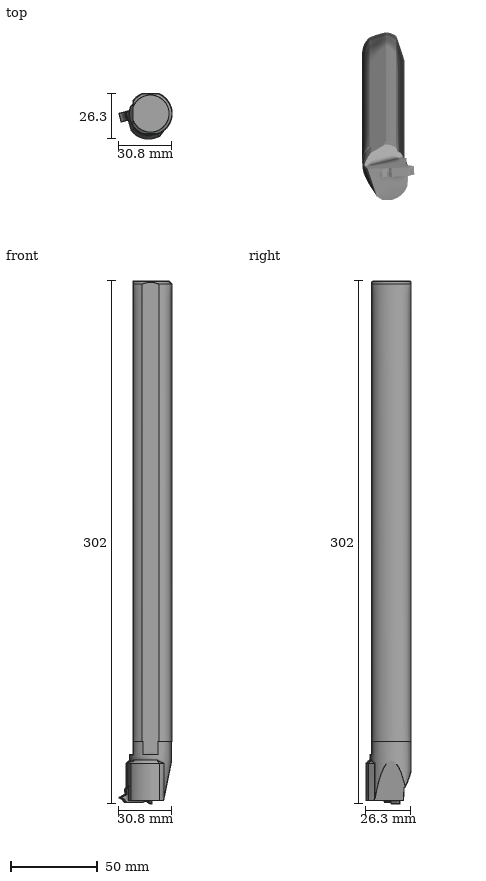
import cadquery as cq
import math

total_length = 302.0
overall_width = 30.8
shank_radius = 25.0 / 2
side_flat = 11.5
back_flat = 10.0
end_chamfer = 1.8
shank_bottom = 36.0
flats_bottom = 28.5

neck_radius = 24.5 / 2
head_bottom = 1.8
head_top = 25.5
head_chamfer = 2.0
head_front = -14.8
relief_top = 24.8
relief_bottom_x = 7.5

tilt = 15.0
floor_offset = 4.8
runout_point = (-12.0, 2.7, 27.5)
runout_normal = (-1.0, 1.0, -0.9)

insert_thickness = 5.0
corner_count = 3
corner_turn = 360.0 / corner_count
tip_radius = 11.0
tip_angle = math.radians(199.0)
tip_offset = (tip_radius * math.cos(tip_angle), tip_radius * math.sin(tip_angle))
corner_profile = [(-7.0, -6.3), (-8.5, -4.5), tip_offset, (-8.5, -2.57), (-6.5, -1.5), (-7.0, 1.0)]

tip_reach = overall_width - shank_radius
tip_along = (floor_offset * math.sin(math.radians(tilt)) - tip_reach) / math.cos(math.radians(tilt))
center_along = tip_along - tip_offset[0]
center_height = -tip_radius * math.sin(tip_angle + math.radians(corner_turn))

block_size = 120.8


def make_shank():
    """Round bar with a chamfered top on a slimmer neck, with three flats."""
    bar = (
        cq.Workplane("XY", origin=(0, 0, shank_bottom))
        .circle(shank_radius)
        .extrude(total_length - shank_bottom)
        .faces(">Z")
        .chamfer(end_chamfer)
    )
    neck = (
        cq.Workplane("XY", origin=(0, 0, head_bottom))
        .circle(neck_radius)
        .extrude(shank_bottom - head_bottom)
    )
    shank = bar.union(neck)
    for x, y, bottom in [
        (0, side_flat, head_bottom),
        (0, -side_flat, flats_bottom),
        (-back_flat, 0, flats_bottom),
    ]:
        shank = shank.cut(make_flat_cutter(x, y, bottom))
    return shank


def make_flat_cutter(x, y, bottom):
    """Block whose inner face lies across the radial line through (x, y)."""
    distance = math.hypot(x, y)
    outward = 1 + block_size / 2 / distance
    return (
        cq.Workplane("XY", origin=(x * outward, y * outward, bottom))
        .rect(block_size, block_size)
        .extrude(total_length)
    )


def make_overhang():
    """Part of the head that stands out from the neck towards -X and -Y."""
    return (
        cq.Workplane("XY", origin=(0, 0, head_bottom))
        .moveTo(-14.2, 1.2)
        .lineTo(-11.2, -9.7)
        .threePointArc((-7.0, -13.3), (-1.35, head_front))
        .lineTo(0.3, head_front)
        .lineTo(5.0, -13.3)
        .lineTo(8.0, -9.7)
        .lineTo(6.0, 7.5)
        .lineTo(-9.0, 7.5)
        .close()
        .extrude(head_top - head_bottom)
        .faces(">Z")
        .chamfer(head_chamfer)
    )


def make_side_relief():
    """Wedge that slants the +X side of the head inwards towards the bottom."""
    return (
        cq.Workplane("XZ")
        .moveTo(neck_radius, relief_top)
        .lineTo(relief_bottom_x, head_bottom)
        .lineTo(2 * neck_radius, head_bottom)
        .lineTo(2 * neck_radius, relief_top)
        .close()
        .extrude(neck_radius * 2, both=True)
    )


def turned_plane(offset):
    """Upright plane parallel to the pocket floor, with its normal towards +Y."""
    angle = math.radians(tilt)
    normal = cq.Vector(-math.sin(angle), math.cos(angle), 0)
    along = cq.Vector(math.cos(angle), math.sin(angle), 0)
    return cq.Plane(origin=normal * offset, xDir=along, normal=normal)


def make_chip_pocket():
    """Space in front of the pocket floor and below the sloping run-out face."""
    in_front = cq.Workplane(turned_plane(floor_offset)).rect(block_size, block_size).extrude(block_size)
    runout = cq.Plane(origin=runout_point, xDir=(1, 1, 0), normal=runout_normal)
    below = cq.Workplane(runout).rect(block_size, block_size).extrude(block_size)
    return in_front.intersect(below)


def turn_point(point, degrees):
    """Rotate a corner point about the insert centre."""
    angle = math.radians(degrees)
    dx, dz = point
    return (
        center_along + dx * math.cos(angle) - dz * math.sin(angle),
        center_height + dx * math.sin(angle) + dz * math.cos(angle),
    )


def make_insert():
    """Three-cornered plate with one thread tooth at each corner."""
    outline = []
    for corner in range(corner_count):
        outline += [turn_point(point, -corner * corner_turn) for point in corner_profile]
    return (
        cq.Workplane(turned_plane(floor_offset))
        .polyline([(along, -height) for along, height in outline])
        .close()
        .extrude(-insert_thickness)
    )


insert = make_insert()
holder = make_shank().union(make_overhang())
holder = holder.cut(make_side_relief()).cut(make_chip_pocket()).cut(insert)

result = cq.Compound.makeCompound([holder.solids().val(), insert.val()])